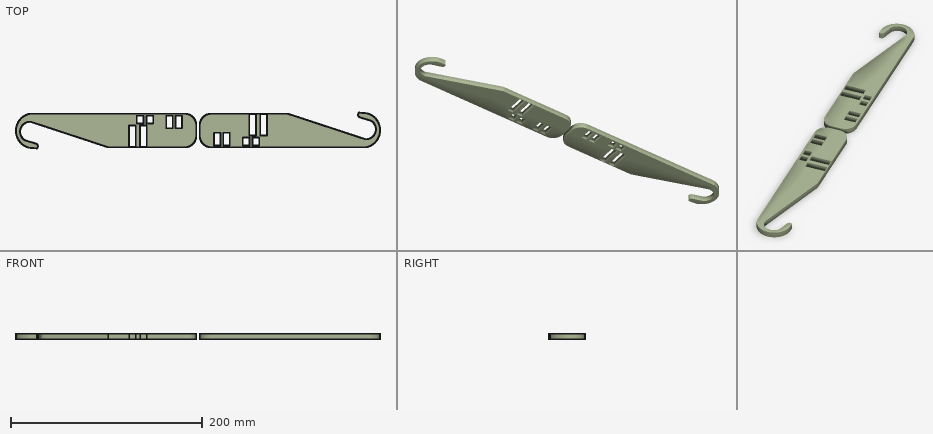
import cadquery as cq

overall_length = 380.8
end_gap = 3.5
thickness = 6.0
arm_length = (overall_length - end_gap) / 2
plate_width = 35.5
corner_radius = 12.0

taper_start_x = 96.7

hook_drop = 1.0
hook_thickness = 4.5
hook_outer_middle_y = 17.0
hook_inner_middle_y = 16.8
outer_arc_start_x = 15.0
inner_arc_start = (15.5, 26.5)
inner_arc_end = (9.5, 7.5)
tip_outer_x = 22.0
tip_inner = (21.0, 4.0)
tip_end = (23.2, 1.5)
outer_arc_end = (13.7, -0.5)

window_top_y = 33.0
square_windows = (130.0, 10.3, 7.0, 25.0, window_top_y)
tall_windows = (122.0, 11.5, 7.0, 0.8, 23.0)
short_windows = (160.7, 9.5, 6.5, 20.0, window_top_y)
windows_per_group = 2


def make_arm_blank():
    """Flat arm: rounded inner end, tapered edge and hooked outer end."""
    outline = (
        cq.Workplane("XY")
        .moveTo(outer_arc_start_x, plate_width)
        .threePointArc((0, hook_outer_middle_y), outer_arc_end)
        .lineTo(tip_outer_x, -hook_drop)
        .threePointArc(tip_end, tip_inner)
        .lineTo(*inner_arc_end)
        .threePointArc((hook_thickness, hook_inner_middle_y), inner_arc_start)
        .lineTo(taper_start_x, 0)
        .lineTo(arm_length - corner_radius, 0)
        .radiusArc((arm_length, corner_radius), -corner_radius)
        .lineTo(arm_length, plate_width - corner_radius)
        .radiusArc((arm_length - corner_radius, plate_width), -corner_radius)
        .close()
    )
    return outline.extrude(thickness)


def cut_windows(arm, group):
    """Cut one group of equal rectangular windows through the arm."""
    first_x, pitch, width, lower_y, upper_y = group
    for index in range(windows_per_group):
        window = (
            cq.Workplane("XY")
            .center(first_x + index * pitch, (lower_y + upper_y) / 2)
            .rect(width, upper_y - lower_y)
            .extrude(thickness)
        )
        arm = arm.cut(window)
    return arm


def make_arm():
    """Complete arm, placed with the centre of the pair at the origin."""
    arm = make_arm_blank()
    for group in (square_windows, tall_windows, short_windows):
        arm = cut_windows(arm, group)
    return arm.translate((-overall_length / 2, -plate_width / 2, 0))


arms = []
for turn in (0, 180):
    arms.append(make_arm().rotate((0, 0, 0), (0, 0, 1), turn).val())

result = cq.Compound.makeCompound(arms)